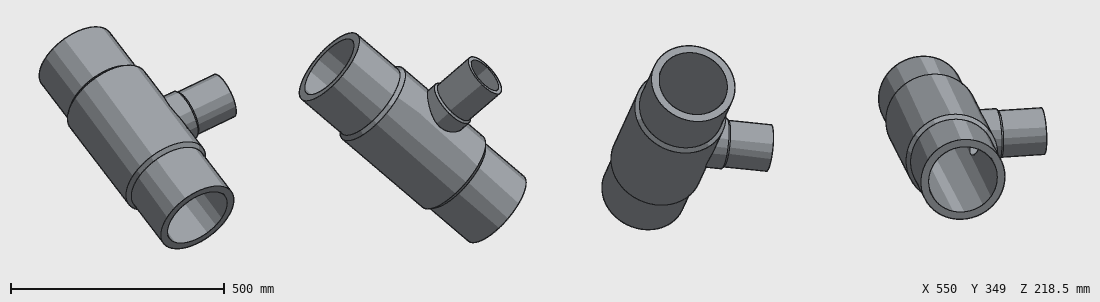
import cadquery as cq

pipe_length = 550.0
pipe_diameter = 200.0
pipe_bore = 163.5

body_length = 282.5
body_diameter = 218.5
body_chamfer = (body_diameter - pipe_diameter) / 2

overall_depth = 349.0
branch_reach = overall_depth - body_diameter / 2
branch_diameter = 110.0
branch_bore = 90.0
branch_exposed_length = 103.0
collar_diameter = 120.0
collar_reach = branch_reach - branch_exposed_length
collar_chamfer = (collar_diameter - branch_diameter) / 2


def cylinder_along_x(diameter, length):
    """Cylinder on the X axis, centred on the origin."""
    return cq.Workplane("YZ").circle(diameter / 2).extrude(length / 2, both=True)


def cylinder_along_y(diameter, reach):
    """Cylinder from the main axis out to Y = reach."""
    return cq.Workplane("XZ").circle(diameter / 2).extrude(-reach)


pipe = cylinder_along_x(pipe_diameter, pipe_length)
body = cylinder_along_x(body_diameter, body_length).edges().chamfer(body_chamfer)
branch = cylinder_along_y(branch_diameter, branch_reach)
collar = cylinder_along_y(collar_diameter, collar_reach).faces(">Y").edges().chamfer(collar_chamfer)
outer = pipe.union(body).union(collar).union(branch)

result = (
    outer
    .cut(cylinder_along_x(pipe_bore, pipe_length))
    .cut(cylinder_along_y(branch_bore, branch_reach))
)